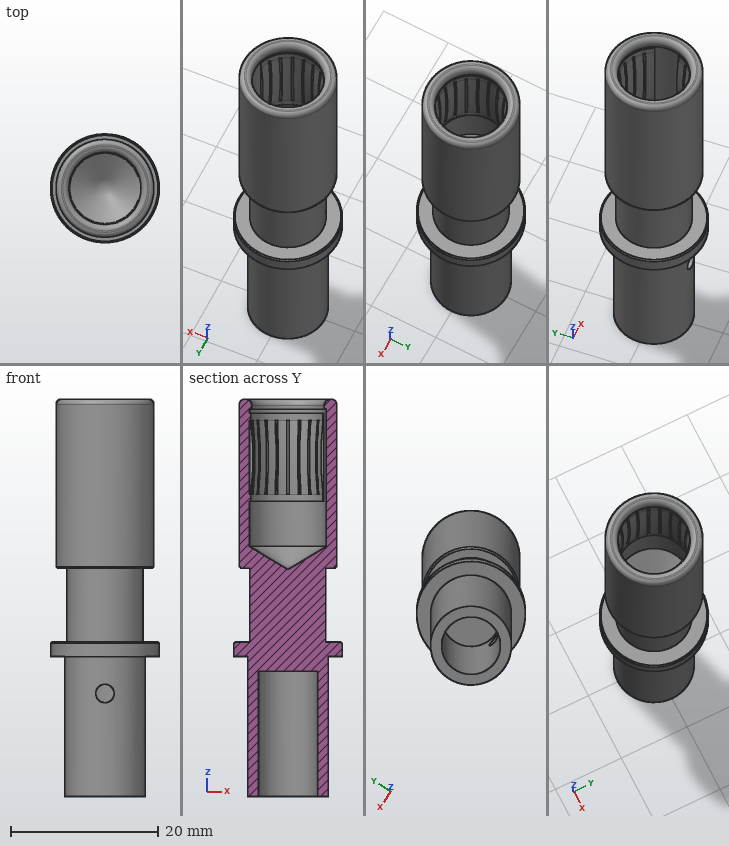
import cadquery as cq
import math

total_height = 54.0
flange_bottom = 19.0
flange_top = 21.0
head_bottom = 31.0

shank_radius = 5.5
flange_radius = 7.4
neck_radius = 5.2
head_radius = 6.65
flange_chamfer = 0.2
head_chamfer = 0.25

rim_round = 0.7
rim_inner_round = 0.85
mouth_radius = 4.9
lip_height = 1.35

bore_radius = 5.2
bore_depth = 20.0
cone_half_angle = 59.0

band_thickness = 0.15
band_waist_radius = 4.75
band_clearance = 0.55
band_ring_height = 1.0
band_length = 12.0
pitch_count = 20
slot_width = 0.3

barrel_radius = 4.0
barrel_depth = 17.0
hole_diameter = 2.5
hole_height = 14.0

lip_bottom = total_height - lip_height
bore_bottom = total_height - bore_depth
band_top = lip_bottom - band_clearance
band_bottom = band_top - band_length
band_middle = (band_top + band_bottom) / 2
pitch_angle = 360 / pitch_count
gap_half_angle = pitch_angle + math.degrees(slot_width / 2 / bore_radius)


def revolve_profile(profile):
    """Turn an XZ half-profile a full turn about Z."""
    return profile.close().revolve(360, (0, 0, 0), (0, 1, 0))


def make_body():
    """Solid turned outside: shank, flange, neck and head."""
    profile = (
        cq.Workplane("XZ")
        .lineTo(shank_radius, 0)
        .lineTo(shank_radius, flange_bottom)
        .lineTo(flange_radius, flange_bottom)
        .lineTo(flange_radius, flange_top - flange_chamfer)
        .lineTo(flange_radius - flange_chamfer, flange_top)
        .lineTo(neck_radius, flange_top)
        .lineTo(neck_radius, head_bottom)
        .lineTo(head_radius - head_chamfer, head_bottom)
        .lineTo(head_radius, head_bottom + head_chamfer)
        .lineTo(head_radius, total_height - rim_round)
        .radiusArc((head_radius - rim_round, total_height), -rim_round)
        .lineTo(0, total_height)
    )
    return revolve_profile(profile)


def make_socket_cut():
    """Flared mouth, lip, wider bore and conical bottom."""
    cone_depth = bore_radius / math.tan(math.radians(cone_half_angle))
    profile = (
        cq.Workplane("XZ")
        .moveTo(0, total_height)
        .lineTo(mouth_radius + rim_inner_round, total_height)
        .radiusArc((mouth_radius, total_height - rim_inner_round), -rim_inner_round)
        .lineTo(mouth_radius, lip_bottom)
        .lineTo(bore_radius, lip_bottom)
        .lineTo(bore_radius, bore_bottom)
        .lineTo(0, bore_bottom - cone_depth)
    )
    return revolve_profile(profile)


def make_spring_band():
    """C-shaped band with slats that bow inward to a waist between two plain end rings."""
    ring_radius = bore_radius - band_thickness
    profile = (
        cq.Workplane("XZ")
        .moveTo(bore_radius, band_top)
        .lineTo(ring_radius, band_top)
        .lineTo(ring_radius, band_top - band_ring_height)
        .threePointArc((band_waist_radius, band_middle), (ring_radius, band_bottom + band_ring_height))
        .lineTo(ring_radius, band_bottom)
        .lineTo(bore_radius, band_bottom)
    )
    band_angle = 360 - 2 * gap_half_angle
    band = profile.close().revolve(band_angle, (0, 0, 0), (0, 1, 0))
    band = band.rotate((0, 0, 0), (0, 0, 1), gap_half_angle)
    slot_height = band_length - 2 * band_ring_height
    slot = (
        cq.Workplane("XY")
        .box(bore_radius, slot_width, slot_height, centered=(False, True, False))
        .translate((bore_radius / 2, 0, band_bottom + band_ring_height))
    )
    for step in range(2, pitch_count - 1):
        band = band.cut(slot.rotate((0, 0, 0), (0, 0, 1), step * pitch_angle))
    return band


def make_barrel_cut():
    """Conductor bore from the bottom face plus the inspection hole on the -Y side."""
    barrel = cq.Workplane("XY").circle(barrel_radius).extrude(barrel_depth)
    hole = (
        cq.Workplane("XZ")
        .center(0, hole_height)
        .circle(hole_diameter / 2)
        .extrude(shank_radius)
    )
    return barrel.union(hole)


result = make_body().cut(make_socket_cut()).union(make_spring_band()).cut(make_barrel_cut())